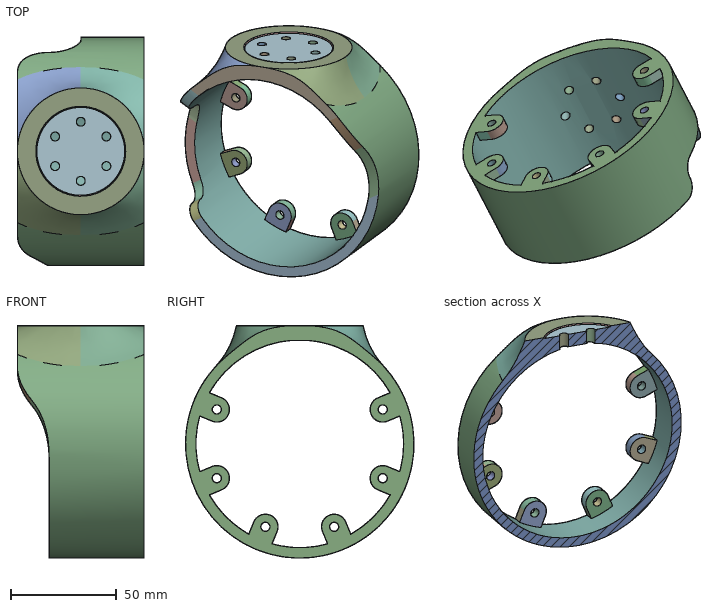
import cadquery as cq
import math

band_width = 60.0
outer_radius = 54.1
wall = 5.0
inner_radius = outer_radius - wall
front_x = -band_width / 2
back_x = band_width / 2

pad_radius = 30.0
pad_top = 56.0
flare_radius = 40.0
flare_overrun = math.radians(6)
flare_steps = 12
bisection_steps = 60
core_radius = 20.0
flare_bore = core_radius / 2
core_bottom = 30.0

recess_radius = 21.3
recess_depth = 0.5
hole_diameter = 4.2
bolt_circle_radius = 14.0
bolt_count = 6
first_bolt_angle = 90.0

lug_radius = 6.0
lug_hole_distance = 42.5
lug_thickness = 5.0
lug_spacing = 45.0
lug_count = 6
first_lug_angle = -202.5

cut_tilt = 30.0
shallow_edge_x = front_x + 15.0
deep_edge_x = 0.0
long_entry_radius = 30.0
long_exit_radius = 40.0
long_start = 12.0
notch_entry_radius = (deep_edge_x - front_x) / 2
notch_exit_radius = (deep_edge_x - shallow_edge_x) / 2
reach = 100.0


def flare_ball(angle):
    """Radius from Z and height of the ball centre at a plan angle around the pad."""
    centre_distance = outer_radius + flare_radius

    def gap(lean):
        radius = pad_radius + flare_radius * math.cos(lean)
        height = pad_top + flare_radius * math.sin(lean)
        return math.hypot(radius * math.sin(angle), height) - centre_distance

    low, high = 0.0, math.pi / 2
    for _ in range(bisection_steps):
        middle = (low + high) / 2
        if gap(middle) < 0:
            low = middle
        else:
            high = middle
    return pad_radius + flare_radius * math.cos(low), pad_top + flare_radius * math.sin(low)


def flare_section(angle):
    """Closed section of the flare: its concave arc, closed back to the flare bore."""
    cos_a, sin_a = math.cos(angle), math.sin(angle)
    ball_radius, ball_height = flare_ball(angle)
    centre = cq.Vector(ball_radius * cos_a, ball_radius * sin_a, ball_height)
    pad_edge = cq.Vector(pad_radius * cos_a, pad_radius * sin_a, pad_top)
    shrink = outer_radius / (outer_radius + flare_radius)
    contact = cq.Vector(centre.x, centre.y * shrink, centre.z * shrink)

    to_edge = (pad_edge - centre).normalized()
    to_contact = (contact - centre).normalized()
    across = (to_contact - to_edge * to_edge.dot(to_contact)).normalized()
    sweep = to_edge.getAngle(to_contact)

    def on_arc(turn):
        return centre + (to_edge * math.cos(turn) + across * math.sin(turn)) * flare_radius

    start = on_arc(-flare_overrun)
    inner_bottom = cq.Vector(flare_bore * cos_a, flare_bore * sin_a, core_bottom)
    inner_top = cq.Vector(inner_bottom.x, inner_bottom.y, start.z)
    return cq.Wire.assembleEdges([
        cq.Edge.makeThreePointArc(start, on_arc((sweep - flare_overrun) / 2), contact),
        cq.Edge.makeLine(contact, inner_bottom),
        cq.Edge.makeLine(inner_bottom, inner_top),
        cq.Edge.makeLine(inner_top, start),
    ])


def make_pad():
    """Flared pad, before it is trimmed to the band width, the top level and the bore."""
    sections = [flare_section(math.pi / 2 * i / flare_steps) for i in range(flare_steps + 1)]
    quarter = cq.Workplane(cq.Solid.makeLoft(sections))
    half = quarter.union(quarter.mirror("YZ"))
    flare = half.union(half.mirror("XZ"))
    core_base = cq.Workplane("XY").workplane(offset=core_bottom)
    core = core_base.circle(core_radius).extrude(pad_top - core_bottom)
    return flare.union(core)


def x_cylinder(radius):
    return cq.Workplane("YZ").workplane(offset=front_x).circle(radius).extrude(band_width)


def make_body():
    limits = cq.Workplane("XY").box(band_width, 2 * reach, reach + pad_top)
    limits = limits.translate((0, 0, (pad_top - reach) / 2))
    return x_cylinder(outer_radius).union(make_pad().intersect(limits)).cut(x_cylinder(inner_radius))


def recess_cutter():
    cone = cq.Solid.makeCone(recess_radius - recess_depth, recess_radius, recess_depth)
    return cq.Workplane(cone).translate((0, 0, pad_top - recess_depth))


def bolt_cutter():
    return (
        cq.Workplane("XY")
        .polarArray(bolt_circle_radius, first_bolt_angle, 360, bolt_count)
        .circle(hole_diameter / 2)
        .extrude(reach)
    )


def make_lug(angle):
    """Lug with a round inner end and radial sides that run into the band wall."""
    root = (inner_radius + outer_radius) / 2
    length = root - lug_hole_distance
    lug = (
        cq.Workplane("YZ")
        .workplane(offset=back_x - lug_thickness)
        .moveTo(root, lug_radius)
        .hLine(-length)
        .threePointArc((lug_hole_distance - lug_radius, 0), (lug_hole_distance, -lug_radius))
        .hLine(length)
        .close()
        .moveTo(lug_hole_distance, 0)
        .circle(hole_diameter / 2)
        .extrude(lug_thickness)
    )
    return lug.rotate((0, 0, 0), (1, 0, 0), angle)


def s_cutter(start, start_x, end_x, entry_radius, exit_radius):
    """Cutter along Y in front of an S-shaped edge that drops from height `start`.

    The edge leaves start_x vertically, turns through two tangent arcs and
    ends vertically at end_x.
    """
    side = math.copysign(1, end_x - start_x)
    turn = math.acos(1 - abs(end_x - start_x) / (entry_radius + exit_radius))

    def entry_point(a):
        return start_x + side * entry_radius * (1 - math.cos(a)), start - entry_radius * math.sin(a)

    end = start - (entry_radius + exit_radius) * math.sin(turn)

    def exit_point(a):
        return end_x - side * exit_radius * (1 - math.cos(a)), end + exit_radius * math.sin(a)

    profile = cq.Workplane("XZ").moveTo(-reach, start).lineTo(start_x, start)
    if start_x > front_x:
        profile = cq.Workplane("XZ").moveTo(-reach, reach).lineTo(start_x, reach).lineTo(start_x, start)
    return (
        profile.threePointArc(entry_point(turn / 2), entry_point(turn))
        .threePointArc(exit_point(turn / 2), (end_x, end))
        .lineTo(end_x, -reach)
        .lineTo(-reach, -reach)
        .close()
        .extrude(reach, both=True)
    )


def quadrant(y_side, z_low, z_high):
    """Block on one side of Y = 0 between two heights."""
    block = cq.Workplane("XY").box(2 * reach, reach, z_high - z_low)
    return block.translate((0, y_side * reach / 2, (z_low + z_high) / 2))


def tilted(cutter, angle):
    return cutter.rotate((0, 0, 0), (1, 0, 0), angle)


def long_sweep_cutter():
    cutter = s_cutter(long_start, front_x, shallow_edge_x, long_entry_radius, long_exit_radius)
    return tilted(cutter, -cut_tilt).intersect(quadrant(-1, -reach, reach))


def notch_upper_cutter():
    cutter = s_cutter(notch_entry_radius, front_x, deep_edge_x, notch_entry_radius, notch_entry_radius)
    return tilted(cutter, cut_tilt).intersect(quadrant(1, 0, reach))


def notch_lower_cutter():
    cutter = s_cutter(notch_exit_radius, deep_edge_x, shallow_edge_x, notch_exit_radius, notch_exit_radius)
    return tilted(cutter, -cut_tilt).intersect(quadrant(1, -reach, 0))


result = make_body()
result = result.cut(recess_cutter()).cut(bolt_cutter())
result = result.cut(long_sweep_cutter()).cut(notch_upper_cutter()).cut(notch_lower_cutter())
for i in range(lug_count):
    result = result.union(make_lug(first_lug_angle + i * lug_spacing))